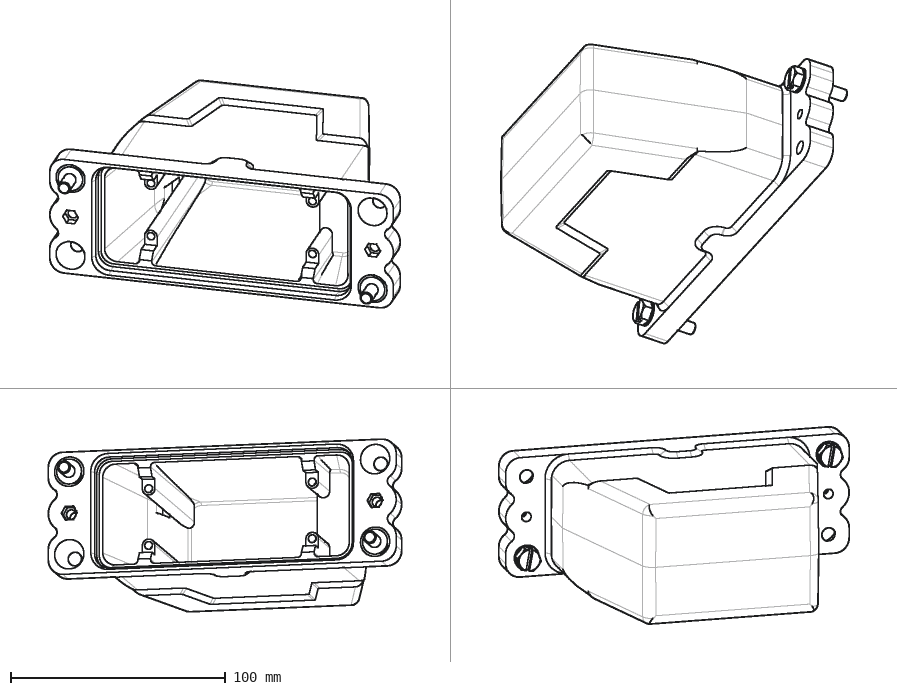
import cadquery as cq
import math


FLANGE_HALF_X = 83.0
FLANGE_HALF_Z = 28.97
FLANGE_DEPTH = 12.3
FLANGE_CORNER_R = 7.0
LOBE_START_Z = 17.0
VALLEY_SIDE_X = 80.2
VALLEY_FLOOR_X = 78.8
VALLEY_TOP_Z = 11.37
VALLEY_BOTTOM_Z = 6.5
MIDDLE_LOBE_R = 8.8

HOLE_X = 72.95
HOLE_Z = 19.6
CONE_MOUTH_R = 7.0
CONE_END_R = 3.2
GUIDE_HOLE_R = 2.24
HEX_POCKET_DIAMETER = 7.5
HEX_POCKET_DEPTH = 4.2

HOOD_TOP_Y = 109.7
HOOD_HALF_X = 61.8
SLOPE_START_Y = 34.5
END_SLOPE = math.tan(math.radians(15))
DRAFT = 0.8
LOWER_HALF_Z = 26.7
LOWER_CORNER_R = 8.8
RIM_R = 5.5
SIDE_EDGE_R = 4.2

STEP_RUN = 3.0
STEP_RISE = FLANGE_HALF_Z - LOWER_HALF_Z
STEP_LOW_Y = 57.1
STEP_HIGH_Y = 85.2
STEP_TOP_HALF_X = 22.7
STEP_CORNER_R = 2.0
UPPER_START_Y = 56.5

SKIRT_HEIGHT = STEP_RUN
TAB_HALF_X = 10.3
TAB_TOP_Y = 24.9
TAB_CORNER_R = 7.0
TAB_FOOT_R = 2.3

RIM_HALF_X = 61.5
RIM_HALF_Z = 26.2
RIM_CORNER_R = 7.0
RIM_DEPTH = 8.3
RIM_MOUTH_WIDTH = 1.25
RIM_MOUTH_DEPTH = 2.5
RIM_FOOT = 1.0

CAVITY_HALF_X = 58.8
CAVITY_HALF_Z = 23.9
CAVITY_CORNER_R = 6.0
CAVITY_DRAFT = 0.8
FLOOR_Y = 103.8
FLOOR_LEFT_X = -38.7
FLOOR_RIGHT_X = 36.0
LEFT_KNEE_X = -49.3
END_WALL_SLOPE = math.tan(math.radians(10))
RIGHT_LEDGE_X = 52.8
FLOOR_R = 1.3

RIB_X = 39.0
RIB_HALF_WIDTH = 3.0
RIB_SCREW_Z = 13.5
RIB_FLARE_R = 2.0
RIB_POST_Y = 18.0
RIB_STEP_Z = 18.0
RIB_RAMP_Y = 11.6
RIB_RAMP_Z = 21.5
RIB_HOLE_MOUTH_R = 1.8
RIB_HOLE_END_R = 1.3
RIB_HOLE_DEPTH = 10.0

POCKET_LEFT_X = -47.0
POCKET_RIGHT_X = -41.5
POCKET_INNER_Z = 12.3
POCKET_OUTER_Z = 21.9
POCKET_START_Y = 41.5
POCKET_FLOOR_Y = 84.7

SHANK_R = 2.9
SCREW_TIP_Y = -11.6
TIP_CHAMFER = 0.5
COLLAR_R = 5.9
BEAD_R = 1.58
COLLAR_FRONT_Y = -1.8
WASHER_THICKNESS = 0.8
HEAD_TOP_Y = 17.8
HEAD_CHAMFER = 0.8
HEX_ANGLE = 10
SLOT_WIDTH = 1.7
SLOT_DEPTH = 2.0


def facing_back(y):
    """Plane at depth y whose normal is +Y (local x is +X, local y is -Z)."""
    return cq.Workplane(cq.Plane(origin=(0, y, 0), xDir=(1, 0, 0), normal=(0, 1, 0)))


def rounded_prism(y, half_x, half_z, corner_r, depth, taper=0.0):
    """Rounded rectangle at depth y, extruded toward +Y."""
    outline = facing_back(y).sketch().rect(2 * half_x, 2 * half_z).vertices().fillet(corner_r).finalize()
    return outline.extrude(depth, taper=taper)


def both_sides(half):
    """The body together with its mirror image across Z = 0."""
    return half.union(half.mirror("XY"))


def hood_half_x(y):
    """Half width of the hood on its sloping ends at depth y."""
    return HOOD_HALF_X - (y - SLOPE_START_Y) * END_SLOPE


def flange():
    valley_middle_z = (VALLEY_TOP_Z + VALLEY_BOTTOM_Z) / 2
    quarter = (
        cq.Workplane("XZ")
        .moveTo(0, 0)
        .lineTo(0, FLANGE_HALF_Z)
        .lineTo(FLANGE_HALF_X - FLANGE_CORNER_R, FLANGE_HALF_Z)
        .radiusArc((FLANGE_HALF_X, FLANGE_HALF_Z - FLANGE_CORNER_R), FLANGE_CORNER_R)
        .lineTo(FLANGE_HALF_X, LOBE_START_Z)
        .radiusArc((VALLEY_SIDE_X, VALLEY_TOP_Z), FLANGE_CORNER_R)
        .threePointArc((VALLEY_FLOOR_X, valley_middle_z), (VALLEY_SIDE_X, VALLEY_BOTTOM_Z))
        .radiusArc((FLANGE_HALF_X, 0), MIDDLE_LOBE_R)
        .close()
        .extrude(-FLANGE_DEPTH)
    )
    right = both_sides(quarter)
    return right.union(right.mirror("YZ"))


def envelope_half(start_y):
    """Drafted +Z half of the hood's silhouette from depth start_y to its closed end."""
    top_half_x = hood_half_x(HOOD_TOP_Y)
    right_side = [(HOOD_HALF_X, start_y), (HOOD_HALF_X, SLOPE_START_Y), (top_half_x, HOOD_TOP_Y)]
    if start_y > SLOPE_START_Y:
        right_side = [(hood_half_x(start_y), start_y), (top_half_x, HOOD_TOP_Y)]
    left_side = [(-x, y) for x, y in reversed(right_side)]
    return cq.Workplane("XY").polyline(right_side + left_side).close().extrude(FLANGE_HALF_Z, taper=DRAFT)


def step_cutter():
    """Recess that lowers the middle of the +Z panel, with sloping edges."""
    lean = STEP_RUN / math.cos(math.radians(15))
    shoulder_x = STEP_TOP_HALF_X + (STEP_HIGH_Y - STEP_LOW_Y) * END_SLOPE

    def outline(offset):
        side = offset * lean - offset * STEP_RUN * END_SLOPE
        rise = offset * STEP_RUN
        right = [
            (FLANGE_HALF_X, SLOPE_START_Y),
            (FLANGE_HALF_X, STEP_LOW_Y + rise),
            (shoulder_x + side, STEP_LOW_Y + rise),
            (STEP_TOP_HALF_X + side, STEP_HIGH_Y + rise),
        ]
        return right + [(-x, y) for x, y in reversed(right)]

    cutter = (
        cq.Workplane("XY", origin=(0, 0, LOWER_HALF_Z))
        .polyline(outline(0))
        .close()
        .workplane(offset=STEP_RISE)
        .polyline(outline(1))
        .close()
        .loft(ruled=True)
    )
    corners = cq.selectors.BoxSelector(
        (-2 * STEP_TOP_HALF_X, STEP_LOW_Y - 1.7, 0), (2 * STEP_TOP_HALF_X, HOOD_TOP_Y, HOOD_TOP_Y)
    )
    return cutter.edges(corners).edges("not #Z").edges("not |X").fillet(STEP_CORNER_R)


def upper_body():
    blank = envelope_half(UPPER_START_Y)
    softened = blank.faces(">Y").edges("not |X").fillet(RIM_R).faces(">Z").edges("not <Y").fillet(SIDE_EDGE_R)
    rounder_rim = blank.faces(">Z").edges(">Y").fillet(RIM_R)
    half = softened.intersect(rounder_rim).cut(step_cutter())
    return both_sides(half)


def lower_body():
    prism = rounded_prism(RIM_DEPTH, HOOD_HALF_X, LOWER_HALF_Z, LOWER_CORNER_R, STEP_LOW_Y - RIM_DEPTH)
    return prism.intersect(both_sides(envelope_half(0)))


def skirt():
    angle = math.degrees(math.atan2(STEP_RISE, SKIRT_HEIGHT))
    return rounded_prism(
        FLANGE_DEPTH,
        HOOD_HALF_X + STEP_RISE,
        FLANGE_HALF_Z,
        LOWER_CORNER_R + STEP_RISE,
        SKIRT_HEIGHT,
        taper=angle,
    )


def tab():
    angle = math.degrees(math.atan2(SKIRT_HEIGHT, STEP_RISE))
    skirt_top_y = FLANGE_DEPTH + SKIRT_HEIGHT
    foot_half_x = HOOD_HALF_X - LOWER_CORNER_R
    outline = (
        cq.Sketch()
        .polygon(
            [
                (-foot_half_x, 1.7),
                (foot_half_x, 1.7),
                (foot_half_x, skirt_top_y),
                (TAB_HALF_X, skirt_top_y),
                (TAB_HALF_X, TAB_TOP_Y),
                (-TAB_HALF_X, TAB_TOP_Y),
                (-TAB_HALF_X, skirt_top_y),
                (-foot_half_x, skirt_top_y),
                (-foot_half_x, 1.7),
            ]
        )
        .reset()
    )
    feet = cq.selectors.BoxSelector((-TAB_HALF_X - 1.7, skirt_top_y - 1.7, -1.7), (TAB_HALF_X + 1.7, skirt_top_y + 1.7, 1.7))
    outline = outline.vertices(feet).fillet(TAB_FOOT_R).reset()
    outline = outline.vertices(">Y").fillet(TAB_CORNER_R).reset()
    half = cq.Workplane("XY", origin=(0, 0, LOWER_HALF_Z)).placeSketch(outline).extrude(STEP_RISE, taper=angle)
    return both_sides(half)


def rim_recess():
    mouth = math.degrees(math.atan2(RIM_MOUTH_WIDTH, RIM_MOUTH_DEPTH))
    opening = rounded_prism(
        0,
        RIM_HALF_X + RIM_MOUTH_WIDTH,
        RIM_HALF_Z + RIM_MOUTH_WIDTH,
        RIM_CORNER_R + RIM_MOUTH_WIDTH,
        RIM_MOUTH_DEPTH,
        taper=mouth,
    )
    well = rounded_prism(0, RIM_HALF_X, RIM_HALF_Z, RIM_CORNER_R, RIM_DEPTH).faces(">Y").edges().chamfer(RIM_FOOT)
    return opening.union(well)


def rib(side_x, side_z):
    """Rib with a rounded crest, a stepped and ramped front, and a screw hole."""
    base_z = CAVITY_HALF_Z + RIB_FLARE_R
    flare_z = CAVITY_HALF_Z - RIB_FLARE_R
    foot = RIB_HALF_WIDTH + RIB_FLARE_R
    length = FLOOR_Y - RIM_DEPTH
    profile = (
        cq.Workplane("XZ", origin=(RIB_X, RIM_DEPTH, 0))
        .moveTo(-foot, base_z)
        .lineTo(-foot, CAVITY_HALF_Z)
        .radiusArc((-RIB_HALF_WIDTH, flare_z), RIB_FLARE_R)
        .lineTo(-RIB_HALF_WIDTH, RIB_SCREW_Z)
        .threePointArc((0, RIB_SCREW_Z - RIB_HALF_WIDTH), (RIB_HALF_WIDTH, RIB_SCREW_Z))
        .lineTo(RIB_HALF_WIDTH, flare_z)
        .radiusArc((foot, CAVITY_HALF_Z), RIB_FLARE_R)
        .lineTo(foot, base_z)
        .close()
        .extrude(-length)
    )
    front = (
        cq.Workplane("YZ", origin=(RIB_X - foot, 0, 0))
        .polyline(
            [
                (0, 0),
                (RIB_POST_Y, 0),
                (RIB_POST_Y, RIB_STEP_Z),
                (RIB_RAMP_Y, RIB_STEP_Z),
                (RIM_DEPTH, RIB_RAMP_Z),
                (0, RIB_RAMP_Z),
            ]
        )
        .close()
        .extrude(2 * foot)
    )
    hole = cq.Workplane("XY").newObject(
        [
            cq.Solid.makeCone(
                RIB_HOLE_MOUTH_R,
                RIB_HOLE_END_R,
                RIB_HOLE_DEPTH,
                pnt=cq.Vector(RIB_X, RIB_POST_Y, RIB_SCREW_Z),
                dir=cq.Vector(0, 1, 0),
            )
        ]
    )
    body = profile.cut(front).cut(hole)
    if side_x < 0:
        body = body.mirror("YZ")
    if side_z < 0:
        body = body.mirror("XY")
    return body


def cavity():
    """Inner space of the hood, less its ribs."""
    left_knee_y = RIM_DEPTH + (CAVITY_HALF_X + LEFT_KNEE_X) / END_WALL_SLOPE
    ledge_y = RIM_DEPTH + (CAVITY_HALF_X - RIGHT_LEDGE_X) / END_WALL_SLOPE
    plan = (
        cq.Workplane("XY", origin=(0, 0, -FLANGE_HALF_Z))
        .polyline(
            [
                (-CAVITY_HALF_X, RIM_DEPTH),
                (LEFT_KNEE_X, left_knee_y),
                (FLOOR_LEFT_X, FLOOR_Y),
                (FLOOR_RIGHT_X, FLOOR_Y),
                (FLOOR_RIGHT_X, ledge_y),
                (RIGHT_LEDGE_X, ledge_y),
                (CAVITY_HALF_X, RIM_DEPTH),
            ]
        )
        .close()
        .extrude(2 * FLANGE_HALF_Z)
    )
    space = (
        facing_back(RIM_DEPTH)
        .rect(3 * CAVITY_HALF_X, 2 * CAVITY_HALF_Z)
        .extrude(FLOOR_Y - RIM_DEPTH, taper=CAVITY_DRAFT)
        .intersect(plan)
    )
    left_corners = cq.selectors.BoxSelector(
        (-2 * CAVITY_HALF_X, RIM_DEPTH + 1.7, -FLANGE_HALF_Z), (FLOOR_LEFT_X - 1.7, FLOOR_Y - 1.7, FLANGE_HALF_Z)
    )
    right_corners = cq.selectors.BoxSelector(
        (RIGHT_LEDGE_X + 0.2, RIM_DEPTH + 1.7, -FLANGE_HALF_Z), (2 * CAVITY_HALF_X, ledge_y - 1.7, FLANGE_HALF_Z)
    )
    for corners in (left_corners, right_corners):
        space = space.edges(corners).edges("not |Z").fillet(CAVITY_CORNER_R)
    floor_ends = cq.selectors.BoxSelector(
        (FLOOR_LEFT_X - 1.7, FLOOR_Y - 1.7, -FLANGE_HALF_Z), (FLOOR_RIGHT_X + 1.7, FLOOR_Y + 1.7, FLANGE_HALF_Z)
    )
    ledge_ends = cq.selectors.BoxSelector(
        (FLOOR_RIGHT_X + 1.7, ledge_y - 1.7, -FLANGE_HALF_Z), (CAVITY_HALF_X, ledge_y + 1.7, FLANGE_HALF_Z)
    )
    for ends in (floor_ends, ledge_ends):
        space = space.edges(ends).fillet(FLOOR_R)
    pocket = cq.Workplane("XY").box(
        POCKET_RIGHT_X - POCKET_LEFT_X,
        POCKET_FLOOR_Y - POCKET_START_Y,
        POCKET_OUTER_Z - POCKET_INNER_Z,
        centered=False,
    ).translate((POCKET_LEFT_X, POCKET_START_Y, POCKET_INNER_Z))
    space = space.union(both_sides(pocket))
    for side_x in (-1, 1):
        for side_z in (-1, 1):
            space = space.cut(rib(side_x, side_z))
    return space


def cone_holes():
    cone = cq.Solid.makeCone(
        CONE_MOUTH_R, CONE_END_R, FLANGE_DEPTH, pnt=cq.Vector(0, 0, 0), dir=cq.Vector(0, 1, 0)
    )
    spots = [(x, 0, z) for x in (-HOLE_X, HOLE_X) for z in (-HOLE_Z, HOLE_Z)]
    return cq.Workplane("XY").newObject([cone.translate(cq.Vector(*spot)) for spot in spots]).combine()


def guide_holes():
    spots = [(-HOLE_X, 0), (HOLE_X, 0)]
    bores = cq.Workplane("XZ").pushPoints(spots).circle(GUIDE_HOLE_R).extrude(-FLANGE_DEPTH)
    pockets = cq.Workplane("XZ").pushPoints(spots).polygon(6, HEX_POCKET_DIAMETER).extrude(-HEX_POCKET_DEPTH)
    return bores.union(pockets)


def hood():
    body = flange().union(lower_body()).union(upper_body()).union(skirt()).union(tab())
    for hollow in (rim_recess(), cavity(), cone_holes(), guide_holes()):
        body = body.cut(hollow)
    return body


def screw(x, z):
    """Slotted hexagon screw with a round retaining bead at the flange face."""
    washer_top_y = FLANGE_DEPTH + WASHER_THICKNESS
    turned = (
        cq.Workplane("XY")
        .moveTo(0, SCREW_TIP_Y)
        .lineTo(SHANK_R - TIP_CHAMFER, SCREW_TIP_Y)
        .lineTo(SHANK_R, SCREW_TIP_Y + TIP_CHAMFER)
        .lineTo(SHANK_R, FLANGE_DEPTH)
        .lineTo(COLLAR_R, FLANGE_DEPTH)
        .lineTo(COLLAR_R, washer_top_y)
        .lineTo(0, washer_top_y)
        .close()
        .revolve(360, (0, 0, 0), (0, 1, 0))
    )
    bead = cq.Solid.makeTorus(
        COLLAR_R - BEAD_R, BEAD_R, pnt=cq.Vector(0, COLLAR_FRONT_Y + BEAD_R, 0), dir=cq.Vector(0, 1, 0)
    )
    head_height = HEAD_TOP_Y - washer_top_y
    blank = cq.Workplane("XZ", origin=(0, washer_top_y, 0)).circle(COLLAR_R).extrude(-head_height)
    blank = blank.faces(">Y").chamfer(HEAD_CHAMFER)
    hexagon = cq.Workplane("XZ", origin=(0, washer_top_y, 0)).polygon(6, 2 * COLLAR_R).extrude(-head_height)
    slot = cq.Workplane("XY").box(SLOT_WIDTH, 2 * SLOT_DEPTH, 2 * COLLAR_R).translate((0, HEAD_TOP_Y, 0))
    head = blank.intersect(hexagon).cut(slot).rotate((0, 0, 0), (0, 1, 0), -HEX_ANGLE)
    return turned.union(cq.Workplane(bead)).union(head).translate((x, 0, z))


housing = hood()
screws = [screw(x, z) for x, z in [(-HOLE_X, HOLE_Z), (HOLE_X, -HOLE_Z)]]

result = cq.Compound.makeCompound([housing.val(), *[item.val() for item in screws]])